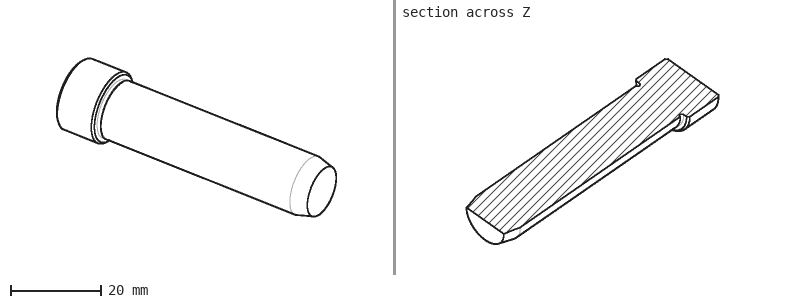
import cadquery as cq
import math

total_length = 65.0
head_diameter = 17.0
head_length = 10.0
head_chamfer = 0.5
shank_diameter = 14.0

groove_radius = 0.5

lead_length = 4.0
lead_angle = 15.0

head_radius = head_diameter / 2
head_rim_radius = head_radius - head_chamfer
shank_radius = shank_diameter / 2
groove_center = head_length + groove_radius
groove_end = head_length + 2 * groove_radius
lead_start = total_length - lead_length
tip_radius = shank_radius - lead_length * math.tan(math.radians(lead_angle))


def make_half_profile():
    """Closed half section of the pin: X along the axis, second coordinate is the radius."""
    return (
        cq.Workplane("XZ")
        .moveTo(0, 0)
        .lineTo(0, head_rim_radius)
        .lineTo(head_chamfer, head_radius)
        .lineTo(head_length - head_chamfer, head_radius)
        .lineTo(head_length, head_rim_radius)
        .lineTo(head_length, shank_radius)
        .threePointArc(
            (groove_center, shank_radius - groove_radius),
            (groove_end, shank_radius),
        )
        .lineTo(lead_start, shank_radius)
        .lineTo(total_length, tip_radius)
        .lineTo(total_length, 0)
        .close()
    )


def make_pin():
    """Revolve the half section a full turn about the X axis."""
    return make_half_profile().revolve(360, (0, 0, 0), (1, 0, 0))


result = make_pin()